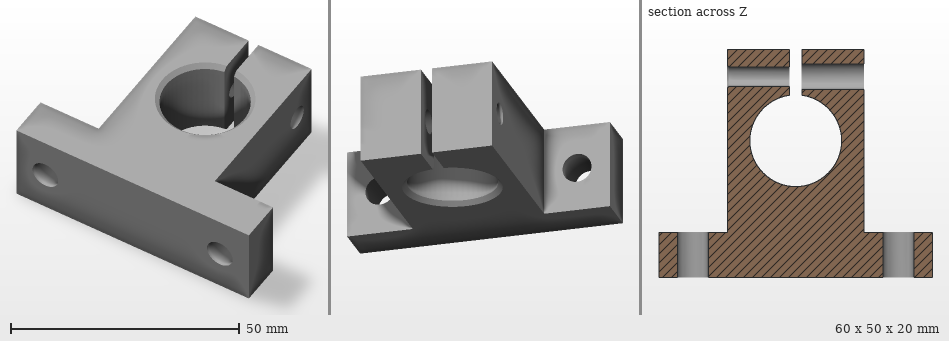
import cadquery as cq

foot_length = 60.0
thickness = foot_length / 3
foot_height = foot_length / 6
block_width = foot_length / 2
total_height = foot_length * 5 / 6

bore_diameter = foot_length / 3
bore_height = foot_length / 2
bore_chamfer = 1.0
slit_width = 2.5

mount_hole_diameter = 6.6
mount_hole_spacing = 45.0

tapped_hole_diameter = 4.15
tapped_hole_chamfer = 0.4
clearance_hole_diameter = 5.5
clamp_hole_drop = 6.0


def make_body():
    """Inverted T outline, mounting face at Y = 0, centred on X and Z."""
    foot = cq.Workplane("XY").box(foot_length, foot_height, thickness, centered=(True, False, True))
    block = cq.Workplane("XY").box(block_width, total_height, thickness, centered=(True, False, True))
    return foot.union(block)


def chamfered_hole(plane, diameter, length, chamfer):
    """Cutter centred on the plane, widening at both ends of its length."""
    hole = cq.Workplane(plane).circle(diameter / 2).extrude(length / 2, both=True)
    for direction in (1, -1):
        mouth = (
            cq.Workplane(plane)
            .workplane(offset=direction * length / 2)
            .circle(diameter / 2 + chamfer)
            .workplane(offset=-direction * chamfer)
            .circle(diameter / 2)
            .loft(ruled=True)
        )
        hole = hole.union(mouth)
    return hole


def make_bore():
    bore = chamfered_hole("XY", bore_diameter, thickness, bore_chamfer)
    return bore.translate((0, bore_height, 0))


def make_slit():
    """Gap from the bore centre out through the top of the block."""
    slit_length = total_height - bore_height
    slit = cq.Workplane("XY").box(slit_width, slit_length, thickness, centered=(True, False, True))
    return slit.translate((0, bore_height, 0))


def make_clamp_hole():
    """Screw hole across the clamp: tapped in the -X jaw, clearance in the +X jaw."""
    tapped = chamfered_hole("YZ", tapped_hole_diameter, block_width, tapped_hole_chamfer)
    clearance = cq.Workplane("YZ").circle(clearance_hole_diameter / 2).extrude(block_width / 2)
    return tapped.union(clearance).translate((0, total_height - clamp_hole_drop, 0))


def make_mount_holes():
    return (
        cq.Workplane("XZ")
        .rarray(mount_hole_spacing, 0.6, 2, 1)
        .circle(mount_hole_diameter / 2)
        .extrude(-foot_height)
    )


result = (
    make_body()
    .cut(make_bore())
    .cut(make_slit())
    .cut(make_clamp_hole())
    .cut(make_mount_holes())
)